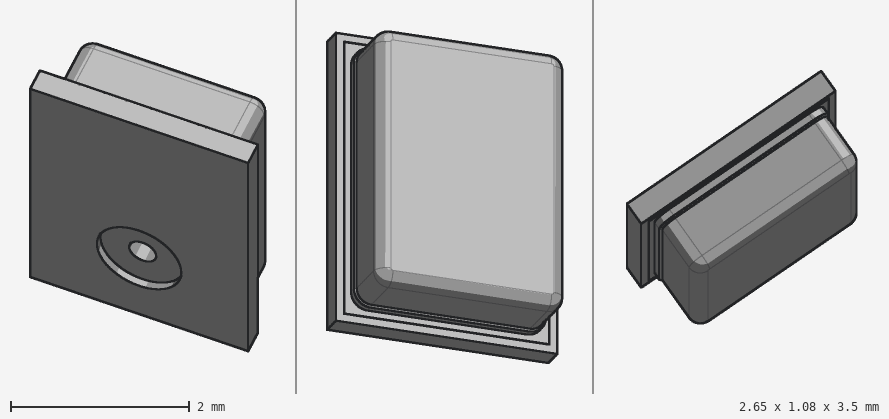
import cadquery as cq

plate_width = 2.65
plate_height = 3.5
plate_thickness = 0.28
total_depth = 1.08

layer_margin = 0.098
layer_thickness = 0.01

lid_width = 2.25
lid_height = 3.1
lid_corner_radius = 0.175
lid_edge_radius = 0.15
foot_overhang = 0.025
foot_depth = 0.115

port_center_z = -0.71
recess_diameter = 1.025
recess_depth = 0.1
hole_diameter = 0.33
hole_depth = 0.385

layer_back = plate_thickness + layer_thickness
lid_depth = total_depth - layer_back


def block(width, height, depth, front):
    """Box centred on X and Z that extends toward +Y from the given front position."""
    return (
        cq.Workplane("XY")
        .box(width, depth, height, centered=(True, False, True))
        .translate((0, front, 0))
    )


def make_lid():
    lid = block(lid_width, lid_height, lid_depth, layer_back)
    lid = lid.edges("|Y").fillet(lid_corner_radius)
    return lid.faces(">Y").edges().fillet(lid_edge_radius)


def make_foot():
    foot = block(
        lid_width + 2 * foot_overhang,
        lid_height + 2 * foot_overhang,
        foot_depth,
        layer_back,
    )
    foot = foot.edges("|Y").fillet(lid_corner_radius + foot_overhang)
    return foot.faces(">Y").edges().chamfer(foot_overhang)


def port_cylinder(diameter, depth):
    return (
        cq.Workplane("XZ")
        .center(0, port_center_z)
        .circle(diameter / 2)
        .extrude(-depth)
    )


plate = block(plate_width, plate_height, plate_thickness, 0)
layer = block(
    plate_width - 2 * layer_margin,
    plate_height - 2 * layer_margin,
    layer_thickness,
    plate_thickness,
)

body = plate.union(layer).union(make_foot()).union(make_lid())
body = body.cut(port_cylinder(recess_diameter, recess_depth))
body = body.cut(port_cylinder(hole_diameter, hole_depth))

result = body.translate((0, -total_depth / 2, 0))